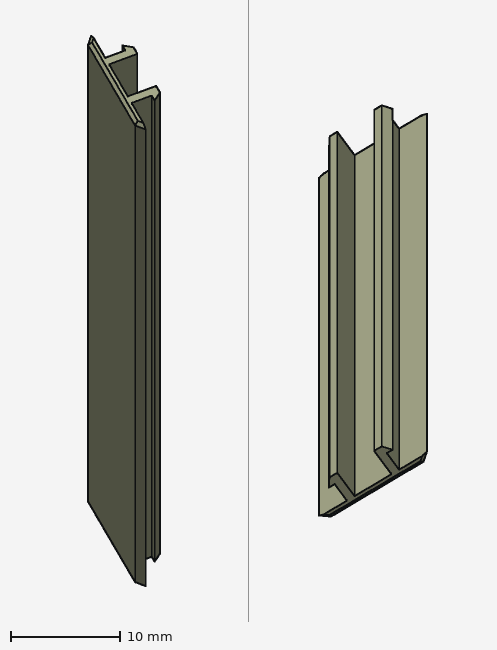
import cadquery as cq

length = 70.0
width = 11.9
depth = 3.6

plate_thickness = 0.7
bevel_width = 0.85
end_chamfer = 0.35

clip_gap = 4.05
leg_thickness = 0.85
barb_height = 0.85
barb_overhang = 0.6

half_width = width / 2
tolerance = 0.01


def make_plate():
    """Bevelled strip with its front and side edges chamfered at both ends."""
    face_half_width = half_width - bevel_width
    outline = [
        (-half_width, plate_thickness),
        (-face_half_width, 0),
        (face_half_width, 0),
        (half_width, plate_thickness),
    ]
    strip = cq.Workplane("XY").polyline(outline).close().extrude(length)
    end_edges = strip.faces("<Z or >Z").edges().vals()
    chamfered_edges = [edge for edge in end_edges if edge.Center().y < plate_thickness - tolerance]
    return strip.newObject(chamfered_edges).chamfer(end_chamfer)


def make_clip(side):
    """Full-length leg with an outward barb; side is -1 or +1 along X."""
    leg_inner = clip_gap / 2
    leg_outer = leg_inner + leg_thickness
    barb_tip = leg_outer + barb_overhang
    barb_base = depth - barb_height
    leg_root = end_chamfer
    outline = [
        (side * leg_inner, leg_root),
        (side * leg_inner, depth),
        (side * leg_outer, depth),
        (side * barb_tip, barb_base),
        (side * leg_outer, barb_base),
        (side * leg_outer, leg_root),
    ]
    return cq.Workplane("XY").polyline(outline).close().extrude(length)


result = make_plate()
for side in (-1, 1):
    result = result.union(make_clip(side))